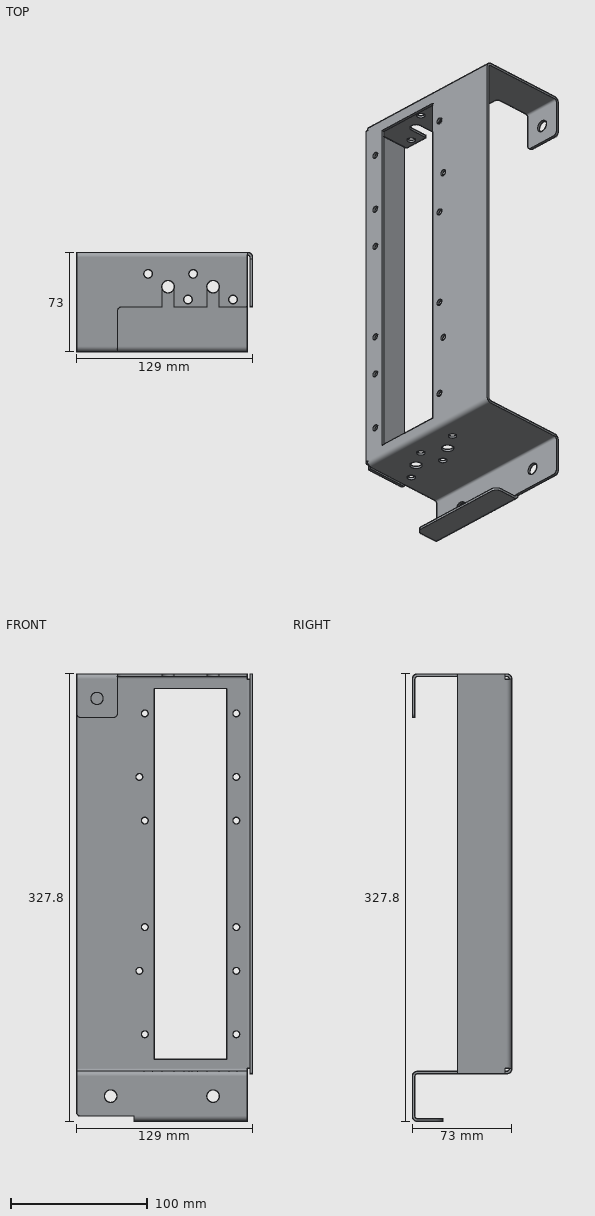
import cadquery as cq
sheet = 2.0
bend_inner = 1.8
bend_outer = bend_inner + sheet

width = 129.0
depth = 73.0
height = 327.8

panel_width = width - bend_outer
box_height = 293.0
shelf_bottom = height - box_height
shelf_top = shelf_bottom + sheet
box_middle = height - box_height / 2
side_flange_depth = 40.0
tab_width = 30.0
tab_length = 32.0
lip_length = 22.5
lip_start_x = 42.0
corner_radius = 3.0
lip_corner_radius = 5.0
small_corner_radius = 1.2

relief_depth = 5.0
side_bend_top = height - bend_outer
side_bend_bottom = shelf_top + sheet

window_left = 57.0
window_right = 110.0
window_height = 271.4
screw_diameter = 4.8
screw_right_x = 117.0
screw_outer_x = 50.0
screw_middle_x = 46.0
screw_rows = [(117.5, screw_outer_x), (71.0, screw_middle_x), (39.0, screw_outer_x)]

connector_xs = [67.0, 100.0]
connector_y = depth - 25.2
connector_diameter = 9.0
connector_screw_diameter = 6.1
connector_screw_dx = 14.6
connector_screw_dy = 9.4

mount_diameter = 9.0
tab_hole_drop = 18.0
front_hole_xs = [25.0, 100.0]
front_hole_z = 18.5


def box(x0, x1, y0, y1, z0, z1):
    """Axis-aligned block between the given limits."""
    return cq.Workplane("XY").box(x1 - x0, y1 - y0, z1 - z0, centered=False).translate((x0, y0, z0))


def hole_along_z(x, y, diameter, z0, z1):
    return cq.Workplane("XY", origin=(x, y, z0)).circle(diameter / 2).extrude(z1 - z0)


def hole_along_y(x, z, diameter, y0, y1):
    return cq.Workplane("XZ", origin=(x, y0, z)).circle(diameter / 2).extrude(y0 - y1)


def round_bend(body, outer, inner):
    """Round the outside and inside corner of one bend, each given as (y, z)."""
    for (y, z), radius in ((outer, bend_outer), (inner, bend_inner)):
        corner = cq.selectors.NearestToPointSelector((panel_width / 2, y, z))
        body = body.edges("|X").edges(corner).fillet(radius)
    return body


def folded_strip():
    """Tab, top, back, shelf, front flange and lip folded from one strip of constant width."""
    back_inner = depth - sheet
    top_inner = height - sheet
    outline = [
        (0, height - tab_length),
        (0, height),
        (depth, height),
        (depth, shelf_bottom),
        (sheet, shelf_bottom),
        (sheet, sheet),
        (lip_length, sheet),
        (lip_length, 0),
        (0, 0),
        (0, shelf_top),
        (back_inner, shelf_top),
        (back_inner, top_inner),
        (sheet, top_inner),
        (sheet, height - tab_length),
    ]
    body = cq.Workplane("YZ").polyline(outline).close().extrude(panel_width)
    bends = [
        ((0, height), (sheet, top_inner)),
        ((depth, height), (back_inner, top_inner)),
        ((depth, shelf_bottom), (back_inner, shelf_top)),
        ((0, shelf_top), (sheet, shelf_bottom)),
        ((0, 0), (sheet, sheet)),
    ]
    for outer, inner in bends:
        body = round_bend(body, outer, inner)
    return body


def side_flange():
    """Flange bent forward from the right edge of the back panel."""
    front_y = depth - side_flange_depth
    bend_y = depth - bend_outer
    flange = (
        cq.Workplane("XY", origin=(0, 0, shelf_bottom))
        .moveTo(panel_width, depth)
        .radiusArc((width, bend_y), bend_outer)
        .lineTo(width, front_y)
        .lineTo(width - sheet, front_y)
        .lineTo(width - sheet, bend_y)
        .radiusArc((panel_width, depth - sheet), -bend_inner)
        .close()
        .extrude(box_height)
    )
    flange = flange.edges("|X and <Y").fillet(small_corner_radius)
    for z0, z1 in ((side_bend_top, height), (shelf_bottom, side_bend_bottom)):
        flange = flange.cut(box(panel_width, width, depth - relief_depth, depth, z0, z1))
    return flange


def top_notch():
    """Clears the top panel and its bend beside the tab, leaving a rounded inner corner."""
    notch = box(tab_width, panel_width, 0, depth - side_flange_depth, height - tab_length, height)
    return notch.edges("|Z and <X and >Y").fillet(corner_radius)


def round_tab(body):
    """Round the two lower corners of the tab."""
    for x in (0, tab_width):
        corner = cq.selectors.NearestToPointSelector((x, sheet / 2, height - tab_length))
        body = body.edges("|Y").edges(corner).fillet(corner_radius)
    return body


def lip_notch():
    """Removes the lip and its bend to the left of the lip, rounding the front flange corner."""
    notch = box(0, lip_start_x, 0, lip_length, 0, bend_outer)
    front_corner = box(0, corner_radius, 0, sheet, bend_outer, bend_outer + corner_radius)
    rounding = hole_along_y(corner_radius, bend_outer + corner_radius, 2 * corner_radius, 0, sheet)
    return notch.union(front_corner.cut(rounding))


def round_free_corners(body):
    """Round the loose corners of the lip and the front right corner of the top panel."""
    front_y = depth - side_flange_depth
    corners = [
        (lip_start_x, lip_length, sheet / 2, lip_corner_radius),
        (panel_width, lip_length, sheet / 2, lip_corner_radius),
        (panel_width, front_y, height - sheet / 2, small_corner_radius),
    ]
    for x, y, z, radius in corners:
        corner = cq.selectors.NearestToPointSelector((x, y, z))
        body = body.edges("|Z").edges(corner).fillet(radius)
    return body


def cut_back_panel(body):
    half_window = window_height / 2
    body = body.cut(
        box(window_left, window_right, depth - sheet, depth, box_middle - half_window, box_middle + half_window)
    )
    for offset, left_x in screw_rows:
        for z in (box_middle - offset, box_middle + offset):
            for x in (left_x, screw_right_x):
                body = body.cut(hole_along_y(x, z, screw_diameter, depth - sheet, depth))
    return body


def cut_connectors(body):
    """Connector clusters through top and shelf; the large holes in the top open into slots."""
    radius = connector_diameter / 2
    for x in connector_xs:
        body = body.cut(hole_along_z(x, connector_y, connector_diameter, shelf_bottom, height))
        body = body.cut(
            box(x - radius, x + radius, depth - side_flange_depth, connector_y, height - sheet, height)
        )
        for side in (-1, 1):
            screw_x = x + side * connector_screw_dx
            screw_y = connector_y - side * connector_screw_dy
            body = body.cut(hole_along_z(screw_x, screw_y, connector_screw_diameter, shelf_bottom, height))
    return body


def cut_mounting_holes(body):
    body = body.cut(hole_along_y(tab_width / 2, height - tab_hole_drop, mount_diameter, 0, sheet))
    for x in front_hole_xs:
        body = body.cut(hole_along_y(x, front_hole_z, mount_diameter, 0, sheet))
    return body


strip = folded_strip().cut(top_notch())
strip = round_tab(strip)
strip = strip.cut(lip_notch())
strip = round_free_corners(strip)
strip = cut_back_panel(strip)
strip = cut_connectors(strip)
strip = cut_mounting_holes(strip)
result = strip.union(side_flange())